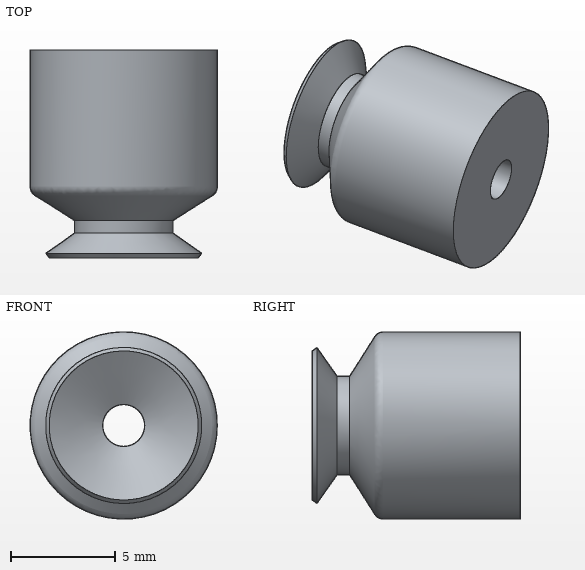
import cadquery as cq

length = 10.0
body_radius = 4.5
shoulder_start = 3.15
shoulder_fillet = 0.5

neck_radius = 2.37
neck_front = 1.2
neck_back = 1.8

rim_radius = 3.75
rim_offset = 0.23
lip_radius = 3.58

bore_radius = 1.0
cup_depth = neck_front


def turned_body():
    """Revolve the half section (radius along X) about the Y axis."""
    section = [
        (bore_radius, cup_depth),
        (lip_radius, 0),
        (rim_radius, rim_offset),
        (neck_radius, neck_front),
        (neck_radius, neck_back),
        (body_radius, shoulder_start),
        (body_radius, length),
        (bore_radius, length),
    ]
    return cq.Workplane("XY").polyline(section).close().revolve(360, (0, 0, 0), (0, 1, 0))


def round_shoulder(body):
    """Round the circular edge where the sloping shoulder meets the body."""
    margin = 0.1
    shoulder_box = cq.selectors.BoxSelector(
        (-body_radius - margin, shoulder_start - margin, -body_radius - margin),
        (body_radius + margin, shoulder_start + margin, body_radius + margin),
        boundingbox=True,
    )
    return body.edges(shoulder_box).fillet(shoulder_fillet)


result = round_shoulder(turned_body())